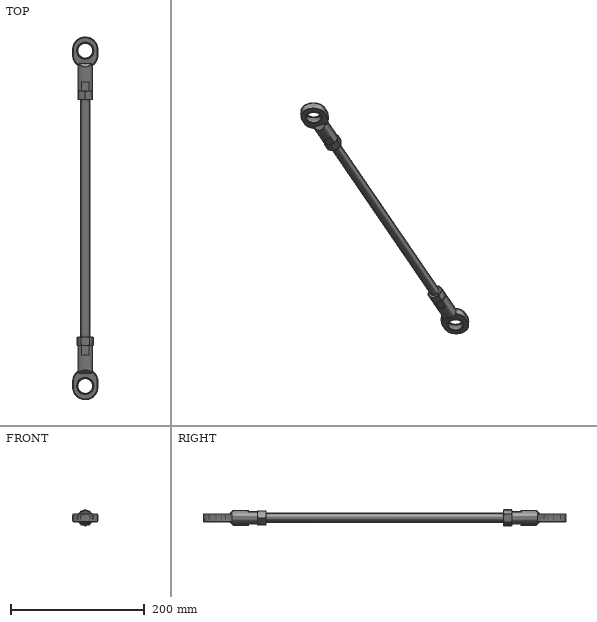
import cadquery as cq
import math

length = 541.5
rod_diameter = 14.0

head_width = 38.0
head_thickness = 12.0
head_crown = 0.5
rim_chamfer = 0.5
head_stretch = 8.0
bore_center = 20.5
socket_diameter = 25.0
recess_diameter = 25.5
recess_depth = 0.25

shank_diameter = 22.0
shoulder_start = 39.5
wrench_flat_start = 67.0
wrench_flat_spacing = 19.0

nut_start = 80.5
nut_end = 93.5
nut_corner_diameter = 24.5
nut_bevel_angle = math.radians(30)

half_length = length / 2
head_radius = head_width / 2
shank_radius = shank_diameter / 2
nut_length = nut_end - nut_start


def cylinder_along_y(diameter, start, end):
    """Cylinder on the Y axis between two Y positions."""
    return cq.Workplane("XZ", origin=(0, start, 0)).circle(diameter / 2).extrude(start - end)


def make_head():
    """Flat eye with a crowned, chamfered rim and its tip at Y = 0."""
    half_thickness = head_thickness / 2
    face_radius = head_radius - head_crown
    far_center = head_radius + head_stretch
    end_profile = (
        cq.Workplane("XZ")
        .moveTo(0, -half_thickness)
        .lineTo(face_radius, -half_thickness)
        .threePointArc((head_radius, 0), (face_radius, half_thickness))
        .lineTo(0, half_thickness)
        .close()
    )
    round_end = end_profile.revolve(360, (0, 0, 0), (0, 1, 0))
    middle = (
        cq.Workplane("XZ", origin=(0, head_radius, 0))
        .moveTo(-face_radius, -half_thickness)
        .lineTo(face_radius, -half_thickness)
        .threePointArc((head_radius, 0), (face_radius, half_thickness))
        .lineTo(-face_radius, half_thickness)
        .threePointArc((-head_radius, 0), (-face_radius, -half_thickness))
        .close()
        .extrude(-head_stretch)
    )
    near_end = round_end.translate((0, head_radius, 0))
    far_end = round_end.translate((0, far_center, 0))
    head = middle.union(near_end).union(far_end).clean()
    return head.faces("|Z").edges().chamfer(rim_chamfer)


def make_shank():
    """Round shank with sloping shoulders at the eye and wrench flats at the nut."""
    half_thickness = head_thickness / 2
    shoulder_end = shoulder_start + shank_radius - half_thickness
    flat_height = wrench_flat_spacing / 2
    upper_edge = [
        (head_radius + head_stretch, half_thickness),
        (shoulder_start, half_thickness),
        (shoulder_end, shank_radius),
        (wrench_flat_start, shank_radius),
        (wrench_flat_start, flat_height),
        (nut_start, flat_height),
    ]
    lower_edge = [(y, -z) for y, z in reversed(upper_edge)]
    side_profile = (
        cq.Workplane("YZ").polyline(upper_edge + lower_edge).close().extrude(shank_radius, both=True)
    )
    return cylinder_along_y(shank_diameter, 0, nut_start).intersect(side_profile)


def make_nut(corner_angle):
    """Hexagonal lock nut, with its corners bevelled at both faces."""
    corner_radius = nut_corner_diameter / 2
    face_radius = corner_radius * math.cos(math.pi / 6)
    bevel_length = (corner_radius - face_radius) * math.tan(nut_bevel_angle)
    hexagon = (
        cq.Workplane("XZ", origin=(0, nut_start, 0))
        .polygon(6, nut_corner_diameter)
        .extrude(-nut_length)
        .rotate((0, 0, 0), (0, 1, 0), corner_angle)
    )
    bevel_envelope = (
        cq.Workplane("XY")
        .moveTo(0, nut_start)
        .lineTo(face_radius, nut_start)
        .lineTo(corner_radius, nut_start + bevel_length)
        .lineTo(corner_radius, nut_end - bevel_length)
        .lineTo(face_radius, nut_end)
        .lineTo(0, nut_end)
        .close()
        .revolve(360, (0, 0, 0), (0, 1, 0))
    )
    return hexagon.intersect(bevel_envelope)


def make_bore():
    """Cutter for the eye: a spherical socket, open at both faces, with a shallow recess at each."""
    half_thickness = head_thickness / 2
    center = cq.Workplane("XY").center(0, bore_center)
    recesses = center.circle(recess_diameter / 2).extrude(half_thickness, both=True)
    web = center.circle(recess_diameter / 2).extrude(half_thickness - recess_depth, both=True)
    return recesses.cut(web).union(center.sphere(socket_diameter / 2))


def make_rod_end(nut_corner_angle):
    """Eye, shank and lock nut, placed at the -Y end of the rod."""
    rod_end = make_head().union(make_shank()).union(make_nut(nut_corner_angle)).cut(make_bore())
    return rod_end.translate((0, -half_length, 0))


front_end = make_rod_end(0)
back_end = make_rod_end(90).mirror("XZ")
rod_reach = half_length - nut_start
rod = cylinder_along_y(rod_diameter, -rod_reach, rod_reach)

result = rod.union(front_end).union(back_end)